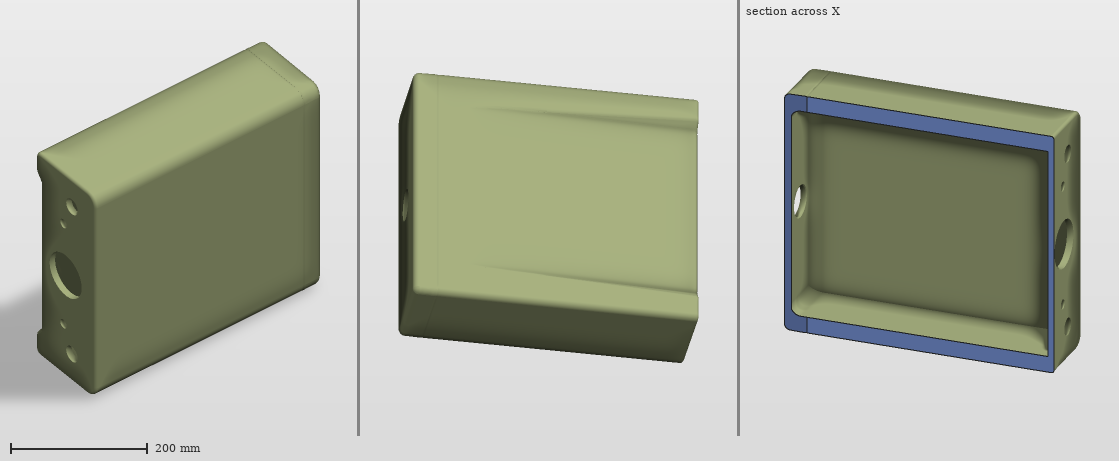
import cadquery as cq
import math

width = 140.5
total_depth = 424.0
cap_height = 380.5
housing_height = 380.0
housing_depth = 388.5
cap_depth = total_depth - housing_depth
left_corner_radius = 9.5
right_corner_radius = 20.5
front_edge_radius = 4.5

groove_length = 2.5
groove_depth = 0.5

draft_angle = 1.0
back_tilt_angle = 0.6
back_edge_radius = 9.5
outlet_radius = 24.0
outlet_chamfer = 1.3

wall = 10.0
cavity_width = 96.5
cavity_height = 328.0
cavity_floor_radius = 16.0

main_hole_radius = 37.7
screw_hole = (-5.0, 94.5, 7.5)
fixing_hole = (15.0, 138.5, 13.5)

recess_depth = 11.5
recess_length = 342.5
recess_floor_height = 269.2
flank_angle = math.radians(38)
flank_radius = 9.0
arc_share = 0.97
fade_steps = (1.0, 0.7, 0.4, 0.15, 0.02)

side_x = -width / 2
outside = 4.2


def rounded_outline(y, outline_width, outline_height):
    """Closed XZ outline at depth y, with small radii on the -X side and large ones on the +X side."""
    outline = (
        cq.Sketch()
        .rect(outline_width, outline_height)
        .vertices("<X")
        .fillet(left_corner_radius)
        .reset()
        .vertices(">X")
        .fillet(right_corner_radius)
    )
    return cq.Workplane("XZ", origin=(0, y, 0)).placeSketch(outline)


def cavity_block(start_y, end_y):
    """Stretch of the inner cavity between two depths."""
    section = cq.Workplane("XZ", origin=(0, start_y, 0)).rect(cavity_width, cavity_height)
    return section.extrude(start_y - end_y)


def holes(centres, radius):
    """Round cutters that pass through the front wall."""
    return (
        cq.Workplane("XZ", origin=(0, -outside, 0))
        .pushPoints(centres)
        .circle(radius)
        .extrude(-(wall + 2 * outside))
    )


def mirrored_holes(hole):
    x, z, radius = hole
    return holes([(x, z), (x, -z)], radius)


def flank_section(y, depth):
    """Closed wire across the upper recess flank at depth y, where the recess is `depth` deep."""
    angle = min(flank_angle, math.acos(1 - arc_share * depth / (2 * flank_radius)))
    arc_depth = flank_radius * (1 - math.cos(angle))
    arc_height = flank_radius * math.sin(angle)
    half_depth = flank_radius * (1 - math.cos(angle / 2))
    half_height = flank_radius * math.sin(angle / 2)
    straight_height = (depth - 2 * arc_depth) / math.tan(angle)

    floor_x = side_x + depth
    floor_z = recess_floor_height / 2
    rim_z = floor_z + 2 * arc_height + straight_height
    section = (
        cq.Workplane("XZ", origin=(0, y, 0))
        .moveTo(side_x - outside, floor_z)
        .lineTo(floor_x, floor_z)
        .threePointArc(
            (floor_x - half_depth, floor_z + half_height),
            (floor_x - arc_depth, floor_z + arc_height),
        )
        .lineTo(side_x + arc_depth, rim_z - arc_height)
        .threePointArc((side_x + half_depth, rim_z - half_height), (side_x, rim_z))
        .lineTo(side_x - outside, rim_z)
        .close()
    )
    return section.val()


def flank_cutters():
    """Upper flank of the recess: a front part at the full angle and a rear part that fades out."""
    blend_depth = 2 * flank_radius * (1 - math.cos(flank_angle)) / arc_share
    blend_length = recess_length * blend_depth / recess_depth
    rear_sections = [
        flank_section(recess_length - blend_length * part, blend_depth * part)
        for part in fade_steps
    ]
    front_sections = [flank_section(0, recess_depth), rear_sections[0]]
    return [
        cq.Workplane(cq.Solid.makeLoft(front_sections, True)),
        cq.Workplane(cq.Solid.makeLoft(rear_sections, False)),
    ]


def recess_floor_cutter():
    return (
        cq.Workplane("XY", origin=(0, 0, -recess_floor_height / 2))
        .polyline([
            (side_x - outside, 0),
            (side_x + recess_depth, 0),
            (side_x, recess_length),
            (side_x - outside, recess_length),
        ])
        .close()
        .extrude(recess_floor_height)
    )


def make_housing():
    body = rounded_outline(0, width, housing_height).extrude(-housing_depth)
    body = body.faces(">Y").chamfer(groove_length, groove_depth)
    body = body.cut(recess_floor_cutter())
    for piece in flank_cutters():
        body = body.cut(piece).cut(piece.mirror("XY"))
    body = body.faces("<Y").edges().fillet(front_edge_radius)
    body = body.cut(cavity_block(wall, housing_depth))
    body = body.cut(holes([(0, 0)], main_hole_radius))
    body = body.cut(mirrored_holes(screw_hole))
    return body.cut(mirrored_holes(fixing_hole))


def back_trim():
    """Everything behind the back face, which leans forward towards +X from its rearmost edge."""
    crest_x = side_x + left_corner_radius
    return (
        cq.Workplane("XY", origin=(crest_x, total_depth, 0))
        .transformed(rotate=(0, 0, -back_tilt_angle))
        .box(4 * width, 2 * cap_depth, 2 * cap_height, centered=(True, False, True))
    )


def outlet_cutter(y):
    """Round outlet through the cap's back wall, chamfered where it leaves the cavity at depth y."""
    bore = cq.Workplane("XZ", origin=(0, y, 0)).circle(outlet_radius).extrude(-cap_depth)
    rim_radius = outlet_radius + outlet_chamfer
    rim = cq.Solid.makeCone(rim_radius, outlet_radius, outlet_chamfer, cq.Vector(0, y, 0), cq.Vector(0, 1, 0))
    return bore.union(cq.Workplane(rim))


def make_cap():
    outline = rounded_outline(housing_depth, width, cap_height)
    body = outline.extrude(-(cap_depth + outside), taper=draft_angle)
    body = body.cut(back_trim())
    body = body.faces(">Y").edges().fillet(back_edge_radius)
    body = body.faces("<Y").chamfer(groove_length, groove_depth)
    cavity_floor_y = total_depth - wall
    cavity = cavity_block(housing_depth, cavity_floor_y)
    cavity = cavity.faces(">Y").edges().fillet(cavity_floor_radius)
    return body.cut(cavity).cut(outlet_cutter(cavity_floor_y))


housing = make_housing()
cap = make_cap()
result = cq.Compound.makeCompound([housing.val(), cap.val()])